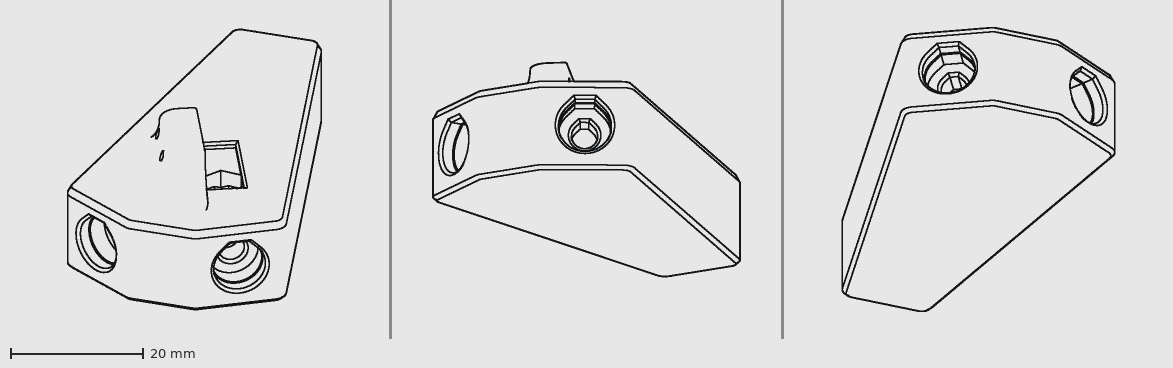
import cadquery as cq
import math

length = 60.0
body_height = 14.0
nose_width = 10.7
shoulder_width = 35.0
tail_width = 14.05
nose_angle = 30.0
corner_radius = 2.0
top_chamfer_in = 0.6
top_chamfer_down = 1.15
bottom_chamfer = 0.6

total_height = 20.6
tower_centre = (0.4, 18.95)
tower_turn = 23.0
tower_width = 13.2
tower_depth = 5.95
tower_corner_radius = 3.0
flare_radius = 6.2
rim_radius = 0.35
back_edge_radius = 0.5
side_hole_diameter = 1.5
side_hole_spacing = 6.5
side_hole_height = 4.2

pocket_length = 6.35
pocket_width = 14.0
pocket_depth = 1.0
pocket_chamfer = 0.4
hex_corner_diameter = 6.7
hex_depth = 2.4
hex_centre = (3.05, -3.2)
groove_half_width = 1.1
groove_depth = 0.6

socket_height = 6.9
seat_radius = 4.0
seat_depth = 5.4
ridge_radius = 3.9
ridge_depth = 2.2
ridge_thickness = 0.2
bore_radius = 2.0
bore_depth = 9.4
socket_chamfer = 0.5
roof_rise = 0.2

nose_slope = math.radians(nose_angle)
shoulder_y = (shoulder_width - nose_width) / 2 * math.tan(nose_slope)
tower_height = total_height - body_height
ridge_end = ridge_depth + ridge_thickness

edge_margin = 0.05


def make_body():
    right_side = [
        (nose_width / 2, 0),
        (shoulder_width / 2, shoulder_y),
        (tail_width / 2, length),
    ]
    left_side = [(-x, y) for x, y in reversed(right_side)]
    body = cq.Workplane("XY").polyline(right_side + left_side).close().extrude(body_height)
    body = body.edges("|Z").fillet(corner_radius)
    body = body.faces("<Z").chamfer(bottom_chamfer)
    return body.faces(">Z").edges().chamfer(top_chamfer_down, top_chamfer_in)


def place_at_tower(shape):
    """Move a shape from the tower's frame (flat back on X = 0, body top on Z = 0) onto the body."""
    shape = shape.rotate((0, 0, 0), (0, 0, 1), tower_turn)
    return shape.translate((*tower_centre, body_height))


def front_rounded_block(depth, width, height, overrun, radius):
    """A block from X = -depth to X = overrun, on Z = 0, with its two -X corners rounded."""
    block = cq.Workplane("XY").box(depth + overrun, width, height, centered=(False, True, False))
    return block.translate((-depth, 0, 0)).edges("|Z and <X").fillet(radius)


def make_tower():
    skirt = flare_radius + 0.2
    slab_thickness = 1.8
    overrun = 3.0
    slab = front_rounded_block(
        tower_depth + skirt, tower_width + 2 * skirt, slab_thickness, overrun,
        tower_corner_radius + skirt,
    ).translate((0, 0, -slab_thickness))
    post = front_rounded_block(
        tower_depth, tower_width, tower_height, overrun, tower_corner_radius
    )

    foot = cq.selectors.BoxSelector(
        (-tower_depth - edge_margin, -tower_width / 2 - edge_margin, -edge_margin),
        (overrun + edge_margin, tower_width / 2 + edge_margin, edge_margin),
    )
    tower = slab.union(post).edges(foot).fillet(flare_radius)

    behind_back = cq.Workplane("XY").box(
        overrun, 4 * tower_width, 4 * tower_height, centered=(False, True, True)
    )
    tower = tower.cut(behind_back)

    back_sides = cq.selectors.BoxSelector(
        (-edge_margin, -tower_width - skirt, -edge_margin),
        (edge_margin, tower_width + skirt, tower_height - edge_margin),
    )
    tower = tower.faces(">X").edges(back_sides).fillet(back_edge_radius)
    tower = tower.faces(">Z").edges().fillet(rim_radius)

    holes = (
        cq.Workplane("YZ")
        .pushPoints([(side * side_hole_spacing / 2, side_hole_height) for side in (-1, 1)])
        .circle(side_hole_diameter / 2)
        .extrude(2 * tower_depth, both=True)
    )
    return place_at_tower(tower.cut(holes))


def make_pocket():
    """The cutter for the pocket, its bevelled rim and the hexagonal recess."""
    floor = cq.Workplane("XY").box(
        pocket_length - pocket_chamfer, pocket_width - 2 * pocket_chamfer, pocket_depth,
        centered=(False, True, False),
    ).translate((0, 0, -pocket_depth))

    kept_half = cq.Workplane("XY").box(
        2 * pocket_length, 2 * pocket_width, 2 * pocket_depth, centered=(False, True, True)
    )
    bevel = (
        cq.Workplane("XY")
        .rect(2 * pocket_length, pocket_width)
        .extrude(-pocket_chamfer, taper=45)
        .intersect(kept_half)
    )
    return place_at_tower(floor.union(bevel).union(make_hex_recess()))


def make_hex_recess():
    """A hexagon with corners along Y and a V groove across its floor."""
    hexagon = (
        cq.Workplane("XY")
        .polygon(6, hex_corner_diameter)
        .extrude(-pocket_depth - hex_depth - groove_depth)
        .rotate((0, 0, 0), (0, 0, 1), 90)
    )
    bottom = -pocket_depth - hex_depth
    half_width = hex_corner_diameter / 2
    grooved_section = (
        cq.Workplane("XZ")
        .polyline([
            (-half_width, -pocket_depth),
            (half_width, -pocket_depth),
            (half_width, bottom),
            (groove_half_width, bottom),
            (0, bottom - groove_depth),
            (-groove_half_width, bottom),
            (-half_width, bottom),
        ])
        .close()
        .extrude(hex_corner_diameter, both=True)
    )
    return hexagon.intersect(grooved_section).translate((*hex_centre, 0))


def roofed_circle(plane, radius):
    """A circle whose top is replaced by two 45-degree flanks and a flat roof."""
    roof = radius + roof_rise
    roof_half = radius * math.sqrt(2) - roof
    tangent = radius / math.sqrt(2)
    return (
        plane.moveTo(-tangent, tangent)
        .threePointArc((0, -radius), (tangent, tangent))
        .lineTo(roof_half, roof)
        .lineTo(-roof_half, roof)
        .close()
    )


def make_socket():
    """The cutter for the +X socket, square to its slanted face."""
    mouth = cq.Plane(
        origin=((nose_width + shoulder_width) / 4, shoulder_y / 2, socket_height),
        xDir=(-math.cos(nose_slope), -math.sin(nose_slope), 0),
        normal=(-math.sin(nose_slope), math.cos(nose_slope), 0),
    )

    def step(radius, start, end):
        plane = cq.Workplane(mouth).workplane(offset=start)
        return roofed_circle(plane, radius).extrude(end - start)

    def entry_chamfer(radius, start):
        plane = cq.Workplane(mouth).workplane(offset=start)
        return roofed_circle(plane, radius + socket_chamfer).extrude(socket_chamfer, taper=45)

    return (
        step(seat_radius, 0, ridge_depth)
        .union(entry_chamfer(seat_radius, 0))
        .union(step(ridge_radius, ridge_depth, ridge_end))
        .union(step(seat_radius, ridge_end, seat_depth))
        .union(step(bore_radius, seat_depth, bore_depth))
        .union(entry_chamfer(bore_radius, seat_depth))
    )


socket = make_socket()
result = (
    make_body()
    .union(make_tower())
    .cut(make_pocket())
    .cut(socket)
    .cut(socket.mirror("YZ"))
)